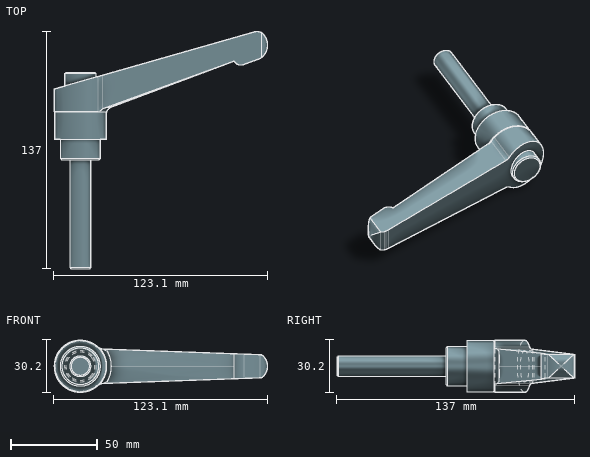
import cadquery as cq
import math


stud_radius = 6.0
stud_chamfer = 0.8
collar_radius = 11.5
collar_bottom = 62.8
collar_chamfer = 1.0
sleeve_radius = 15.0
sleeve_bottom = 74.8
head_bottom = 90.5
head_chamfer = 0.5

head_radius = 15.1
button_radius = 9.0
button_top = 113.5
button_chamfer = 0.8

head_low_side = 103.9
top_end_x = 99.6
top_end_y = 136.6

under_slope = 0.362
notch_x = 88.7
notch_y = 119.9
knob_low = (92.0, 117.6)
knob_end = (94.4, 118.0)
crown = (102.2, 137.0)

round_start_x = 104.4
round_top = (104.5, 136.4)
round_bottom_x = 103.6
round_bottom_y = knob_end[1] + under_slope * (round_bottom_x - knob_end[0])
tip_x = 108.0
tip_y = 129.1

blend_start_x = 10.3
blend_end_x = 12.9
root_half_width = 10.0
end_half_width = 6.7
blend_sag = 0.2

keel_depth = 1.0
keel_end_depth = 0.07
under_fillet_reach = 2.7


def turned(radius, bottom, top, bottom_chamfer=0.0, top_chamfer=0.0):
    """Cylinder about Y with optional 45 degree end chamfers."""
    body = cq.Workplane("XZ", origin=(0, bottom, 0)).circle(radius).extrude(bottom - top)
    if bottom_chamfer:
        body = body.faces("<Y").chamfer(bottom_chamfer)
    if top_chamfer:
        body = body.faces(">Y").chamfer(top_chamfer)
    return body


def top_face_y(x):
    slope = (top_end_y - head_low_side) / (top_end_x + head_radius)
    return head_low_side + slope * (x + head_radius)


def underside_y(x):
    return notch_y + under_slope * (x - notch_x)


def half_width(x):
    taper = (root_half_width - end_half_width) / (round_start_x - blend_end_x)
    return root_half_width - taper * (x - blend_end_x)


def make_head():
    right_top = top_face_y(head_radius)
    blank = turned(head_radius, head_bottom, right_top, bottom_chamfer=head_chamfer)
    side = (
        cq.Workplane("XY")
        .moveTo(-head_radius, head_bottom)
        .lineTo(head_radius, head_bottom)
        .lineTo(head_radius, right_top)
        .lineTo(-head_radius, head_low_side)
        .close()
        .extrude(head_radius, both=True)
    )
    return blank.intersect(side)


def make_arm_plan():
    """Tapered arm outline in X and Z, blended into the hub and rounded at its end."""
    blend_start_z = math.sqrt(head_radius**2 - blend_start_x**2)
    blend_mid_x = (blend_start_x + blend_end_x) / 2
    blend_mid_z = (blend_start_z + root_half_width) / 2 - blend_sag
    return (
        cq.Workplane("XZ", origin=(0, crown[1], 0))
        .moveTo(0, blend_start_z)
        .lineTo(blend_start_x, blend_start_z)
        .threePointArc((blend_mid_x, blend_mid_z), (blend_end_x, root_half_width))
        .lineTo(round_start_x, end_half_width)
        .threePointArc((tip_x, 0), (round_start_x, -end_half_width))
        .lineTo(blend_end_x, -root_half_width)
        .threePointArc((blend_mid_x, -blend_mid_z), (blend_start_x, -blend_start_z))
        .lineTo(0, -blend_start_z)
        .close()
        .extrude(crown[1] - head_bottom)
    )


def make_arm_side():
    """Arm outline in X and Y, with the grip knob and the rounded end."""
    return (
        cq.Workplane("XY")
        .moveTo(blend_start_x, underside_y(blend_start_x))
        .lineTo(notch_x, notch_y)
        .threePointArc(knob_low, knob_end)
        .lineTo(round_bottom_x, round_bottom_y)
        .threePointArc((tip_x, tip_y), round_top)
        .threePointArc(crown, (top_end_x, top_end_y))
        .lineTo(blend_start_x, top_face_y(blend_start_x))
        .close()
        .extrude(head_radius, both=True)
    )


def make_keel():
    """Shallow V under the arm that fades out at the notch."""

    def section(x, depth):
        corners = [
            cq.Vector(x, underside_y(x), -half_width(x)),
            cq.Vector(x, underside_y(x) - depth, 0),
            cq.Vector(x, underside_y(x), half_width(x)),
        ]
        return cq.Wire.makePolygon(corners, close=True)

    sections = [section(blend_end_x, keel_depth), section(notch_x, keel_end_depth)]
    return cq.Workplane(cq.Solid.makeLoft(sections, True))


def make_under_fillet():
    """Concave ring around the hub, filling the corner below the arm."""
    outer = head_radius + under_fillet_reach
    corner_y = underside_y(head_radius) - keel_depth
    outer_y = underside_y(outer) - keel_depth
    wall_y = corner_y - math.hypot(under_fillet_reach, outer_y - corner_y)
    slope_angle = math.atan(under_slope)
    radius = (corner_y - wall_y) * math.tan((math.pi / 2 + slope_angle) / 2)
    middle_angle = math.pi - (math.pi / 2 - slope_angle) / 2
    middle = (
        head_radius + radius + radius * math.cos(middle_angle),
        wall_y + radius * math.sin(middle_angle),
    )
    return (
        cq.Workplane("XY")
        .moveTo(blend_start_x, wall_y)
        .lineTo(head_radius, wall_y)
        .threePointArc(middle, (outer, outer_y))
        .lineTo(outer, underside_y(outer))
        .lineTo(blend_start_x, underside_y(outer))
        .close()
        .revolve(360, (0, 0, 0), (0, 1, 0))
    )


arm_plan = make_arm_plan()
arm = arm_plan.intersect(make_arm_side())
under_fillet = arm_plan.intersect(make_under_fillet())

result = (
    turned(stud_radius, 0, collar_bottom + collar_chamfer, bottom_chamfer=stud_chamfer)
    .union(turned(collar_radius, collar_bottom, sleeve_bottom, bottom_chamfer=collar_chamfer))
    .union(turned(sleeve_radius, sleeve_bottom, head_bottom))
    .union(make_head())
    .union(turned(button_radius, head_bottom, button_top, top_chamfer=button_chamfer))
    .union(arm)
    .union(make_keel())
    .union(under_fillet)
)